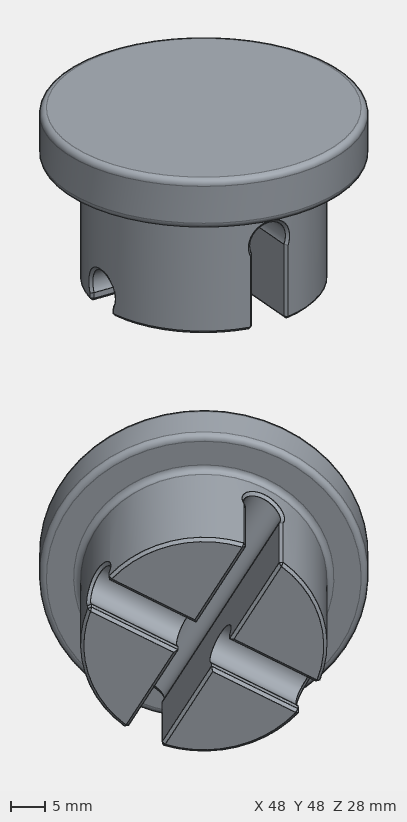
import cadquery as cq
import math

flange_diameter = 48.0
flange_height = 8.0
spigot_diameter = 36.0
spigot_height = 19.95
rounding = 1.0
edge_break = 0.5

bore_diameter = 6.2
low_bore_height = 3.0
low_throat_width = 5.35
high_bore_height = 13.5
high_throat_width = 5.6


def keyhole_cutter(bore_height, throat_width):
    """Keyhole slot running along Y, open at the bottom of the spigot."""
    bore = (
        cq.Workplane("XZ")
        .center(0, bore_height)
        .circle(bore_diameter / 2)
        .extrude(spigot_diameter, both=True)
    )
    throat = cq.Workplane("XY").box(
        throat_width, 2 * spigot_diameter, bore_height, centered=(True, True, False)
    )
    return bore.union(throat)


def make_blank():
    """Flange with rounded rims on a plain spigot, with a concave round where they meet."""
    spigot_radius = spigot_diameter / 2
    rim_radius = flange_diameter / 2
    top = spigot_height + flange_height
    blank = (
        cq.Workplane("XZ")
        .lineTo(spigot_radius, 0)
        .lineTo(spigot_radius, spigot_height - rounding)
        .radiusArc((spigot_radius + rounding, spigot_height), rounding)
        .lineTo(rim_radius - rounding, spigot_height)
        .radiusArc((rim_radius, spigot_height + rounding), -rounding)
        .lineTo(rim_radius, top - rounding)
        .radiusArc((rim_radius - rounding, top), -rounding)
        .lineTo(0, top)
        .close()
        .revolve(360, (0, 0), (0, 1))
    )
    return blank.rotate((0, 0, 0), (0, 0, 1), 45)


def is_slot_mouth_edge(edge):
    """True for an edge where a slot breaks out through the spigot's outer wall."""
    tolerance = 0.0005
    ends = (edge.startPoint(), edge.endPoint())
    on_wall = all(abs(math.hypot(p.x, p.y) - spigot_diameter / 2) < tolerance for p in ends)
    below_slot_top = all(p.z < high_bore_height + bore_diameter / 2 for p in ends)
    is_upright = edge.geomType() == "LINE" and abs(ends[0].z - ends[1].z) > tolerance
    return on_wall and below_slot_top and (is_upright or edge.geomType() == "BSPLINE")


low_slot = keyhole_cutter(low_bore_height, low_throat_width)
high_slot = keyhole_cutter(high_bore_height, high_throat_width).rotate((0, 0, 0), (0, 0, 1), 90)
slotted = make_blank().cut(low_slot).cut(high_slot)

bottom_edges = slotted.faces("<Z").edges()
mouth_edges = slotted.edges().filter(is_slot_mouth_edge)
result = bottom_edges.add(mouth_edges).chamfer(edge_break)